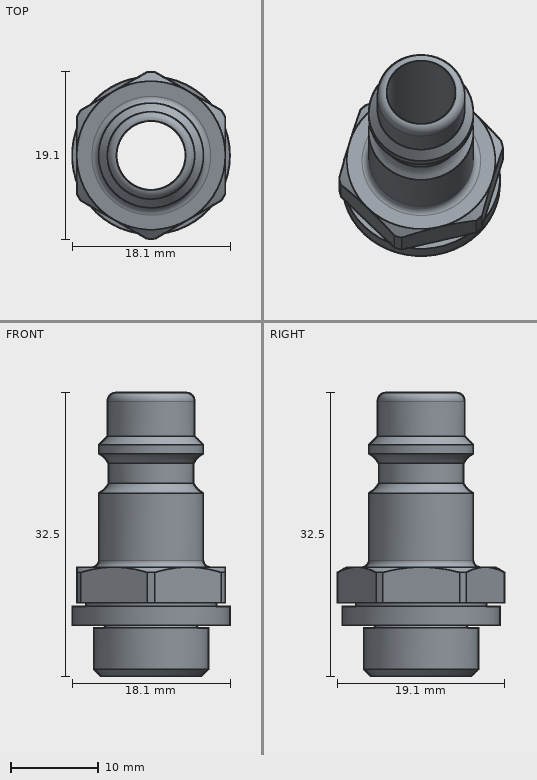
import cadquery as cq
import math

total_height = 32.5
bore_radius = 7.85 / 2

thread_radius = 13.15 / 2
thread_chamfer = 0.85
thread_top = 5.55
relief_bottom_radius = 5.35
relief_top_radius = 5.23

washer_radius = 18.1 / 2
washer_bottom = 5.85
washer_top = 8.03
collar_radius = 15.0 / 2

hex_bottom = 8.42
hex_top = 12.5
hex_across_flats = 17.0
hex_corner_radius = 19.15 / 2
hex_chamfer_angle = 30.0

body_radius = 12.0 / 2
root_fillet = 13.6 / 2 - body_radius
neck_radius = 9.75 / 2
tip_radius = 10.0 / 2
tip_rounding = 1.0
tip_length = 5.0
ridge_width = 1.0
neck_length = 2.28
flare_hollow = 0.13

flare = body_radius - neck_radius
ridge_shoulder = total_height - tip_length
ridge_top = ridge_shoulder - (body_radius - tip_radius)
ridge_bottom = ridge_top - ridge_width
neck_top = ridge_bottom - flare
neck_bottom = neck_top - neck_length
body_top = neck_bottom - flare


def revolve(profile):
    return profile.close().revolve(360, (0, 0, 0), (0, 1, 0))


def make_threaded_end():
    profile = (
        cq.Workplane("XZ")
        .lineTo(thread_radius - thread_chamfer, 0)
        .lineTo(thread_radius, thread_chamfer)
        .lineTo(thread_radius, thread_top)
        .lineTo(relief_bottom_radius, thread_top)
        .lineTo(relief_top_radius, washer_bottom)
        .lineTo(washer_radius, washer_bottom)
        .lineTo(washer_radius, washer_top)
        .lineTo(collar_radius, washer_top)
        .lineTo(collar_radius, hex_bottom)
        .lineTo(0, hex_bottom)
    )
    return revolve(profile)


def make_hexagon():
    """Hexagon with flats facing +X and -X, turned corners and a conical top chamfer."""
    flat_radius = hex_across_flats / 2
    chamfer_drop = (hex_corner_radius - flat_radius) * math.tan(math.radians(hex_chamfer_angle))
    prism = (
        cq.Workplane("XY", origin=(0, 0, hex_bottom))
        .polygon(6, hex_across_flats, circumscribed=True)
        .extrude(hex_top - hex_bottom)
    )
    turned_blank = revolve(
        cq.Workplane("XZ")
        .moveTo(0, hex_bottom)
        .lineTo(hex_corner_radius, hex_bottom)
        .lineTo(hex_corner_radius, hex_top - chamfer_drop)
        .lineTo(flat_radius, hex_top)
        .lineTo(0, hex_top)
    )
    return prism.intersect(turned_blank)


def make_plug():
    root_top = hex_top + root_fillet
    root_inset = root_fillet * (1 - math.sqrt(0.5))
    profile = (
        cq.Workplane("XZ")
        .moveTo(0, hex_top)
        .lineTo(body_radius + root_fillet, hex_top)
        .threePointArc((body_radius + root_inset, hex_top + root_inset), (body_radius, root_top))
        .lineTo(body_radius, body_top)
        .sagittaArc((neck_radius, neck_bottom), flare_hollow)
        .lineTo(neck_radius, neck_top)
        .sagittaArc((body_radius, ridge_bottom), flare_hollow)
        .lineTo(body_radius, ridge_top)
        .lineTo(tip_radius, ridge_shoulder)
        .lineTo(tip_radius, total_height - tip_rounding)
        .tangentArcPoint((tip_radius - tip_rounding, total_height), relative=False)
        .lineTo(0, total_height)
    )
    return revolve(profile)


bore = cq.Workplane("XY").circle(bore_radius).extrude(total_height)
result = make_threaded_end().union(make_hexagon()).union(make_plug()).cut(bore)